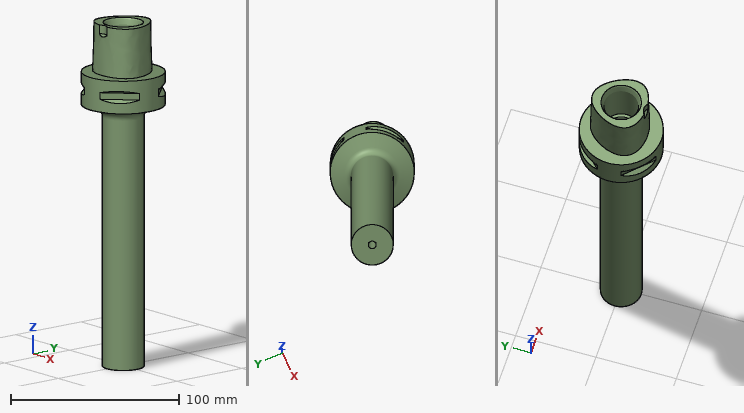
import cadquery as cq
import math

total_length = 210.0
flange_radius = 25.0
shaft_radius = 12.5

taper_height = 30.0
flange_height = 20.0
flange_top = total_length - taper_height
flange_bottom = flange_top - flange_height

cone_slope = math.radians(16)
neck_fillet_radius = 5.0

taper_base_mean_diameter = 35.0
taper_ratio = 1 / 20
taper_base_mean_radius = taper_base_mean_diameter / 2
taper_top_mean_radius = taper_base_mean_radius - taper_height * taper_ratio / 2
lobe_offset = 1.2
curve_points = 24

mouth_radius = 12.0
mouth_depth = 1.0
flare_top_radius = 11.3
flare_depth = 4.2
bore_radius = 10.3
bore_depth = 29.5
screw_hole_radius = 7.4
screw_hole_chamfer = 0.8
screw_hole_depth = 21.0
through_radius = 2.3
drill_point_slope = math.radians(30)

groove_count = 4
first_groove_angle = 45
groove_depth = 3.0
groove_floor_height = 4.0
groove_side_angle = math.radians(30)

notch_radius = 5.0
notch_axis_y = -19.1
notch_depth = 5.2
notch_floor_slope = math.radians(40)


def lobed_wire(mean_radius, z):
    """Closed three-lobed hypocycloid outline at height z."""
    points = []
    for i in range(curve_points):
        t = 2 * math.pi * i / curve_points
        across = mean_radius * math.sin(t) + lobe_offset * math.sin(2 * t)
        along = -mean_radius * math.cos(t) + lobe_offset * math.cos(2 * t)
        points.append(cq.Vector(across, along, z))
    return cq.Wire.assembleEdges([cq.Edge.makeSpline(points, periodic=True)])


def make_taper():
    base = lobed_wire(taper_base_mean_radius, flange_top)
    top = lobed_wire(taper_top_mean_radius, total_length)
    return cq.Workplane(obj=cq.Solid.makeLoft([base, top], True))


def make_body():
    """Flange, conical underside, filleted neck and shaft, revolved about Z.

    The neck fillet is tangent to both the cone and the shaft.
    """
    cone_end_radius = shaft_radius + neck_fillet_radius * (1 - math.sin(cone_slope))
    cone_end_z = flange_bottom - (flange_radius - cone_end_radius) * math.tan(cone_slope)
    shaft_top = cone_end_z - neck_fillet_radius * math.cos(cone_slope)
    profile = (
        cq.Workplane("XZ")
        .moveTo(0, 0)
        .lineTo(shaft_radius, 0)
        .lineTo(shaft_radius, shaft_top)
        .tangentArcPoint((cone_end_radius, cone_end_z), relative=False)
        .lineTo(flange_radius, flange_bottom)
        .lineTo(flange_radius, flange_top)
        .lineTo(0, flange_top)
        .close()
    )
    return profile.revolve(360, (0, 0, 0), (0, 1, 0))


def make_bore():
    """Flared bore, a chamfered screw hole below it and a small hole right through."""
    bore_floor = total_length - bore_depth
    point_top = bore_floor - screw_hole_depth
    point_bottom = point_top - (screw_hole_radius - through_radius) * math.tan(drill_point_slope)
    profile = (
        cq.Workplane("XZ")
        .moveTo(0, 0)
        .lineTo(through_radius, 0)
        .lineTo(through_radius, point_bottom)
        .lineTo(screw_hole_radius, point_top)
        .lineTo(screw_hole_radius, bore_floor - screw_hole_chamfer)
        .lineTo(screw_hole_radius + screw_hole_chamfer, bore_floor)
        .lineTo(bore_radius, bore_floor)
        .lineTo(bore_radius, total_length - flare_depth)
        .lineTo(flare_top_radius, total_length - mouth_depth)
        .lineTo(mouth_radius, total_length)
        .lineTo(0, total_length)
        .close()
    )
    return profile.revolve(360, (0, 0, 0), (0, 1, 0))


def make_groove(angle):
    """Straight groove with sloping sides, cut across the rim at the given angle."""
    half_floor = groove_floor_height / 2
    half_mouth = half_floor + groove_depth * math.tan(groove_side_angle)
    floor_x = flange_radius - groove_depth
    groove = (
        cq.Workplane("XZ")
        .polyline([
            (floor_x, -half_floor),
            (flange_radius, -half_mouth),
            (flange_radius, half_mouth),
            (floor_x, half_floor),
        ])
        .close()
        .extrude(flange_radius, both=True)
    )
    groove = groove.translate((0, 0, flange_top - flange_height / 2))
    return groove.rotate((0, 0, 0), (0, 0, 1), angle)


def make_notch():
    """Round-backed notch with a conical floor that falls toward its own axis."""
    point_drop = notch_radius * math.tan(notch_floor_slope)
    profile = (
        cq.Workplane("XZ")
        .moveTo(0, -notch_depth - point_drop)
        .lineTo(notch_radius, -notch_depth)
        .lineTo(notch_radius, 0)
        .lineTo(0, 0)
        .close()
    )
    notch = profile.revolve(360, (0, 0, 0), (0, 1, 0))
    return notch.translate((0, notch_axis_y, total_length))


result = make_body().union(make_taper()).cut(make_bore()).cut(make_notch())
for index in range(groove_count):
    result = result.cut(make_groove(first_groove_angle + index * 360 / groove_count))